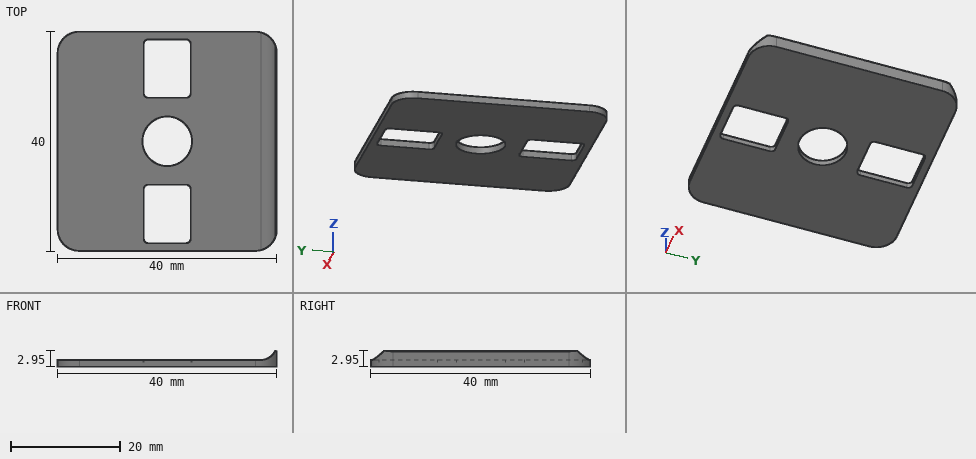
import cadquery as cq
import math

side = 40.0
thickness = 1.3
corner_radius = 4.0

height = 2.95
lip_length = 2.95
crest_inset = 0.3
crest_drop = 0.15

hole_diameter = 9.0
window_width = 8.5
window_length = 10.6
window_offset = 13.25
window_radius = 0.8


def lip_profile():
    """Side profile in XZ: flat plate, rising tangent arc, sloping tip."""
    edge_x = side / 2
    arc_start_x = edge_x - lip_length
    arc_run = lip_length - crest_inset
    arc_rise = height - thickness
    arc_radius = (arc_run**2 + arc_rise**2) / (2 * arc_rise)
    half_sweep = math.atan2(arc_rise, arc_run)
    arc_middle = (
        arc_start_x + arc_radius * math.sin(half_sweep),
        thickness + arc_radius * (1 - math.cos(half_sweep)),
    )
    return (
        cq.Workplane("XZ")
        .moveTo(-edge_x, 0)
        .lineTo(-edge_x, thickness)
        .lineTo(arc_start_x, thickness)
        .threePointArc(arc_middle, (edge_x - crest_inset, height))
        .lineTo(edge_x, height - crest_drop)
        .lineTo(edge_x, 0)
        .close()
    )


def rounded_prism(width, length, radius):
    """Full-height rectangular prism with rounded vertical edges."""
    prism = cq.Workplane("XY").rect(width, length).extrude(height)
    return prism.edges("|Z").fillet(radius)


plate = lip_profile().extrude(side / 2, both=True)
plate = plate.intersect(rounded_prism(side, side, corner_radius))

hole = cq.Workplane("XY").circle(hole_diameter / 2).extrude(height)
plate = plate.cut(hole)

window = rounded_prism(window_width, window_length, window_radius)
for direction in (-1, 1):
    plate = plate.cut(window.translate((0, direction * window_offset, 0)))

result = plate